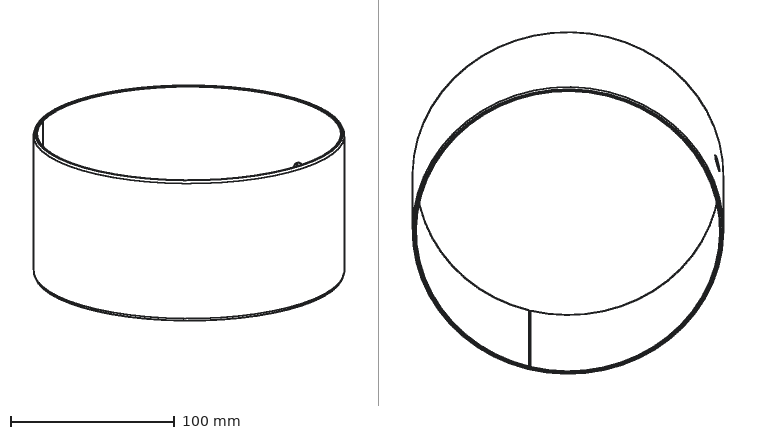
import cadquery as cq
import math

outer_diameter = 190.0
height = 90.0
wall = 2.3
rim_chamfer_height = 1.7
rim_chamfer_depth = 0.8
inner_chamfer = 0.5
slit_width = 1.1
hole_diameter = 10.0
hole_angle = 59.0
hole_height = height / 2

outer_radius = outer_diameter / 2
inner_radius = outer_radius - wall


def make_ring():
    """Revolve the wall section, with a long chamfer on the outer rim edges and a small one inside."""
    rim_outer_radius = outer_radius - rim_chamfer_depth
    section = [
        (inner_radius + inner_chamfer, 0),
        (rim_outer_radius, 0),
        (outer_radius, rim_chamfer_height),
        (outer_radius, height - rim_chamfer_height),
        (rim_outer_radius, height),
        (inner_radius + inner_chamfer, height),
        (inner_radius, height - inner_chamfer),
        (inner_radius, inner_chamfer),
    ]
    return cq.Workplane("XZ").polyline(section).close().revolve(360, (0, 0, 0), (0, 1, 0))


def make_slit():
    """Full-height cut through the wall on the -X side, with one face on the XZ plane."""
    slit = cq.Workplane("XY").box(outer_radius, slit_width, height, centered=False)
    return slit.translate((-outer_radius, 0, 0))


def make_hole():
    """Radial hole through one side of the wall."""
    angle = math.radians(hole_angle)
    direction = cq.Vector(math.cos(angle), math.sin(angle), 0)
    start = cq.Vector(0, 0, hole_height)
    return cq.Solid.makeCylinder(hole_diameter / 2, outer_diameter, start, direction)


result = make_ring().cut(make_slit()).cut(make_hole())